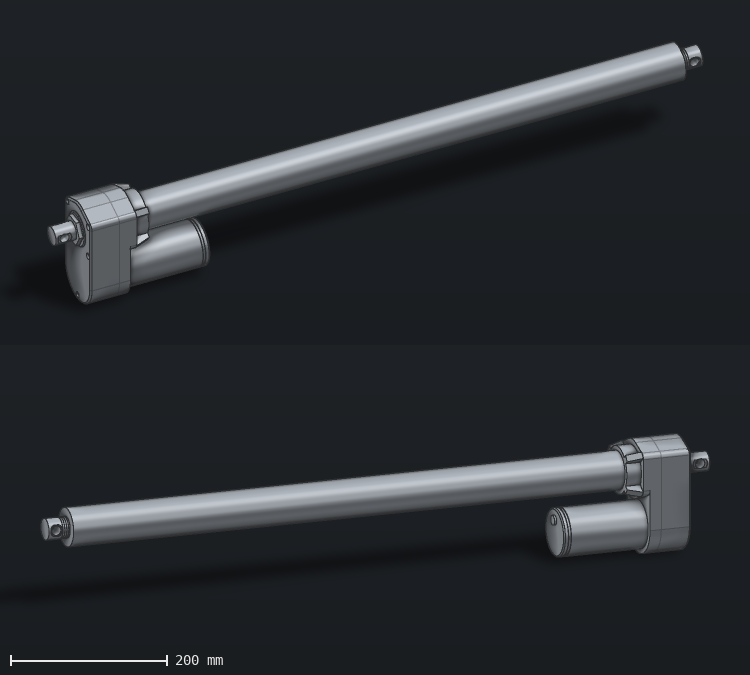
import cadquery as cq
import math


total_length = 913.5

gearbox_width = 77.0
gearbox_top = 39.0
motor_axis_z = -74.0
roof_angle = math.radians(22)
crown_radius = 31.0
shoulder_radius = 8.0
gearbox_rear = 36.5
gearbox_split = 78.0
gearbox_front = 93.0
tube_boss_front = 102.0
rear_chamfer = 2.3

screw_x = 31.0
screw_z = 23.0
bottom_screw_z = -105.0
screw_head_diameter = 8.5
screw_head_depth = 4.0
screw_socket_diameter = 3.5
screw_socket_depth = 3.0

clevis_diameter = 26.0
clevis_hole_y = 13.0
pin_hole_diameter = 13.0
clevis_spot_face_diameter = 19.0
clevis_spot_face_span = 23.0
hex_flats = 36.0
hex_rear = 29.0
disc_diameter = 48.0
disc_rear = 35.0
disc_chamfer = 1.4

tube_diameter = 51.0
tube_end = 884.0
collar_diameter = 63.0
collar_front = 122.0
rib_width = 9.0
rib_tip_radius = 37.0
rib_root_radius = 44.0

motor_diameter = 64.0
motor_end = 209.0
motor_chamfer = 2.0
motor_groove_start = 199.0
motor_groove_width = 4.0
motor_groove_depth = 1.0
nub_diameter = 13.0
nub_offset_z = 16.0
nub_end = 212.0

rod_diameter = 28.0
rod_hole_y = 902.5
rod_groove_starts = (886.0, 892.0)
rod_groove_width = 3.0
rod_groove_depth = 0.5
rod_spot_face_diameter = 16.0
rod_spot_face_span = 24.0


def cylinder(diameter, y_start, y_end, x=0.0, z=0.0):
    """Round bar parallel to Y."""
    return (
        cq.Workplane("XZ", origin=(x, y_start, z))
        .circle(diameter / 2)
        .extrude(y_start - y_end)
    )


def cross_bar(diameter, y, x_start, x_end):
    """Round bar parallel to X, centred on the tube axis height."""
    return cq.Workplane("YZ", origin=(x_start, y, 0)).circle(diameter / 2).extrude(x_end - x_start)


def cut_ring_groove(body, diameter, start, width, depth, z=0.0):
    """Shallow groove around a round bar."""
    ring = cylinder(diameter, start, start + width, z=z).cut(
        cylinder(diameter - 2 * depth, start, start + width, z=z)
    )
    return body.cut(ring)


def cut_pin_hole(body, y, bar_diameter, spot_diameter, span):
    """Cross hole for a pin, with a flat round spot face at each end."""
    body = body.cut(cross_bar(pin_hole_diameter, y, -bar_diameter, bar_diameter))
    for side in (-1, 1):
        body = body.cut(cross_bar(spot_diameter, y, side * span / 2, side * bar_diameter))
    return body


def roof_block(y_start, y_end):
    """Upper part of the gearbox: two sloped facets with a rounded crown and rounded shoulders."""
    half_width = gearbox_width / 2
    ridge_z = gearbox_top + crown_radius * (1 / math.cos(roof_angle) - 1)
    eave_z = ridge_z - half_width * math.tan(roof_angle)
    block = (
        cq.Workplane("XZ", origin=(0, y_start, 0))
        .moveTo(-half_width, 0)
        .lineTo(-half_width, eave_z)
        .lineTo(0, ridge_z)
        .lineTo(half_width, eave_z)
        .lineTo(half_width, 0)
        .close()
        .extrude(y_start - y_end)
    )
    block = block.edges("|Y").edges(">Z").fillet(crown_radius)
    middle_y = (y_start + y_end) / 2
    for side in (-1, 1):
        shoulder = cq.selectors.NearestToPointSelector((side * half_width, middle_y, eave_z))
        block = block.edges("|Y").edges(shoulder).fillet(shoulder_radius)
    return block


def gearbox_slice(y_start, y_end):
    """Full gearbox outline: roof above the tube axis, straight sides and a round end below."""
    sides = cq.Workplane("XY").box(
        gearbox_width, y_end - y_start, -motor_axis_z, centered=(True, False, False)
    ).translate((0, y_start, motor_axis_z))
    round_end = cylinder(gearbox_width, y_start, y_end, z=motor_axis_z)
    return roof_block(y_start, y_end).union(sides).union(round_end).clean()


def cut_screw_holes(cover):
    """Counterbored screw holes in the rear face: four around the tube axis, one at the bottom."""
    holes = [(side * screw_x, level * screw_z) for side in (-1, 1) for level in (-1, 1)]
    holes.append((0, bottom_screw_z))
    head_floor = gearbox_rear + screw_head_depth
    socket_floor = head_floor + screw_socket_depth
    for x, z in holes:
        cover = cover.cut(cylinder(screw_head_diameter, gearbox_rear, head_floor, x, z))
        cover = cover.cut(cylinder(screw_socket_diameter, head_floor, socket_floor, x, z))
    return cover


def make_gearbox():
    cover = gearbox_slice(gearbox_rear, gearbox_split).faces("<Y").chamfer(rear_chamfer)
    cover = cut_screw_holes(cover)
    case = gearbox_slice(gearbox_split, gearbox_front)
    roof = roof_block(gearbox_front, tube_boss_front)
    boss = roof.union(roof.mirror("XY"))
    return cover.union(case.union(boss), clean=False)


def make_clevis():
    clevis = cylinder(clevis_diameter, 0, gearbox_rear)
    clevis = cut_pin_hole(clevis, clevis_hole_y, clevis_diameter,
                          clevis_spot_face_diameter, clevis_spot_face_span)
    hexagon = (
        cq.Workplane("XZ", origin=(0, hex_rear, 0))
        .polygon(6, hex_flats / math.cos(math.pi / 6))
        .extrude(hex_rear - disc_rear)
    )
    disc = cylinder(disc_diameter, disc_rear, gearbox_rear).faces("<Y").chamfer(disc_chamfer)
    return clevis.union(hexagon).union(disc)


def make_collar():
    collar = cylinder(collar_diameter, tube_boss_front, collar_front)
    rib = (
        cq.Workplane("XY")
        .polyline([
            (0, tube_boss_front),
            (rib_root_radius, tube_boss_front),
            (rib_tip_radius, collar_front),
            (0, collar_front),
        ])
        .close()
        .extrude(rib_width / 2, both=True)
    )
    diagonal = math.degrees(math.atan2(screw_z, screw_x))
    for angle in (diagonal, -diagonal, 180 - diagonal, 180 + diagonal):
        collar = collar.union(rib.rotate((0, 0, 0), (0, 1, 0), angle))
    return collar


def make_motor():
    motor = cylinder(motor_diameter, gearbox_front, motor_end, z=motor_axis_z)
    motor = motor.faces(">Y").chamfer(motor_chamfer)
    motor = cut_ring_groove(motor, motor_diameter, motor_groove_start, motor_groove_width,
                            motor_groove_depth, motor_axis_z)
    nub = cylinder(nub_diameter, motor_end, nub_end, z=motor_axis_z + nub_offset_z)
    return motor.union(nub)


def make_housing():
    housing = make_gearbox()
    tube = cylinder(tube_diameter, tube_boss_front, tube_end)
    for part in (make_clevis(), make_collar(), make_motor(), tube):
        housing = housing.union(part, clean=False)
    return housing.cut(cylinder(rod_diameter, tube_boss_front, tube_end), clean=False)


def make_rod():
    rod = cylinder(rod_diameter, tube_boss_front, total_length)
    for start in rod_groove_starts:
        rod = cut_ring_groove(rod, rod_diameter, start, rod_groove_width, rod_groove_depth)
    return cut_pin_hole(rod, rod_hole_y, rod_diameter, rod_spot_face_diameter, rod_spot_face_span)


housing = make_housing()
rod = make_rod()

result = cq.Compound.makeCompound([housing.val(), rod.val()])